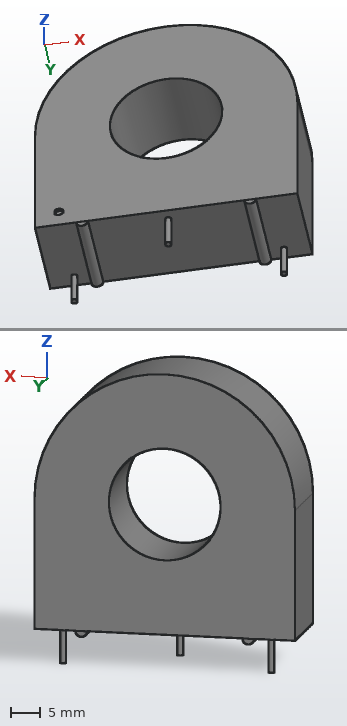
import cadquery as cq

width = 44.5
depth = 14.3
top_radius = width / 2
bore_diameter = 19.05
bore_height = 22.25
front_y = -depth / 2

mark_diameter = 1.5
mark_depth = 0.5
mark_x = -18.2
mark_height = 3.1

foot_radius = 1.0
foot_spacing = 28.5

pin_diameter = 1.02
pin_length = 6.0
back_pin_spacing = 35.56
pin_row_spacing = 10.16
pin_places = [
    (0, -pin_row_spacing / 2),
    (-back_pin_spacing / 2, pin_row_spacing / 2),
    (back_pin_spacing / 2, pin_row_spacing / 2),
]


def front_plane():
    """Plane on the front face, with local X along X, local Y along Z and its normal toward -Y."""
    return cq.Workplane("XZ", origin=(0, front_y, 0))


def make_housing():
    block = (
        front_plane()
        .moveTo(-width / 2, 0)
        .lineTo(width / 2, 0)
        .lineTo(width / 2, bore_height)
        .threePointArc((0, bore_height + top_radius), (-width / 2, bore_height))
        .close()
        .extrude(-depth)
    )
    bore = front_plane().center(0, bore_height).circle(bore_diameter / 2).extrude(-depth)
    mark = front_plane().center(mark_x, mark_height).circle(mark_diameter / 2).extrude(-mark_depth)
    return block.cut(bore).cut(mark)


def make_foot(x):
    return (
        front_plane()
        .moveTo(x - foot_radius, 0)
        .threePointArc((x, -foot_radius), (x + foot_radius, 0))
        .close()
        .extrude(-depth)
    )


def make_pin(x, y):
    return cq.Workplane("XY").center(x, y).circle(pin_diameter / 2).extrude(-pin_length)


housing = make_housing()
feet = [make_foot(side * foot_spacing / 2) for side in (-1, 1)]
pins = [make_pin(x, y) for x, y in pin_places]

result = cq.Compound.makeCompound([
    housing.val(),
    *[foot.val() for foot in feet],
    *[pin.val() for pin in pins],
])